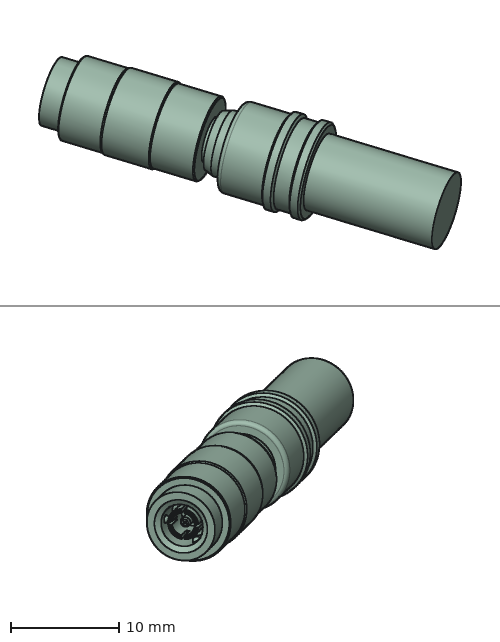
import cadquery as cq

TOTAL_LENGTH = 39.2

NOSE_RADIUS = 3.35
SLEEVE_RADIUS = 4.1
GRIP_RADIUS = 4.25
NECK_RADIUS = 2.2
COLLAR_TIP_RADIUS = 2.9
COLLAR_RADIUS = 3.2
SHELL_RADIUS = 4.43
RING_RADIUS = 4.75
TAIL_RADIUS = 3.72

SLEEVE_START = 2.15
GRIP_START = 6.4
GRIP_END = 11.35
SLEEVE_END = 15.7
COLLAR_START = 16.2
COLLAR_CONE_END = 17.05
SHELL_START = 18.05
FIRST_RING_START = 22.58
FIRST_RING_END = 23.75
LAST_RING_START = 25.3
SHELL_END = 26.45

SLEEVE_CHAMFER = 0.1
GRIP_RAMP = 0.2
SHELL_ROUND = 0.45
RING_RAMP = 0.2

MOUTH_RADIUS = 2.6
SOCKET_RADIUS = 2.05
MOUTH_DEPTH = 0.3
SOCKET_DEPTH = 3.53

TUBE_RADIUS = 1.5
TUBE_BORE_RADIUS = 1.1
TUBE_START = 0.55
TUBE_CHAMFER = 0.1
TUBE_SLOT_COUNT = 4
TUBE_SLOT_WIDTH = 0.3
TUBE_SLOT_LENGTH = 1.55

PIN_RADIUS = 0.47
PIN_START = 1.18
PIN_CHAMFER = 0.15
PIN_BORE_RADIUS = 0.1
PIN_BORE_DEPTH = 1.18

KEY_COUNT = 3
KEY_DOME_RADIUS = 0.4
KEY_TIP_DISTANCE = 1.7
KEY_STATION = 1.55


def revolve_about_x(outline):
    """Revolve a workplane outline in the XY plane about the connector axis."""
    return outline.close().revolve(360, (0, 0), (1, 0))


def make_body():
    """Solid of revolution with the complete outer profile."""
    plug_profile = [
        (0, 0),
        (0, NOSE_RADIUS),
        (SLEEVE_START, NOSE_RADIUS),
        (SLEEVE_START, SLEEVE_RADIUS - SLEEVE_CHAMFER),
        (SLEEVE_START + SLEEVE_CHAMFER, SLEEVE_RADIUS),
        (GRIP_START, SLEEVE_RADIUS),
        (GRIP_START + GRIP_RAMP, GRIP_RADIUS),
        (GRIP_END - SLEEVE_CHAMFER, GRIP_RADIUS),
        (GRIP_END, SLEEVE_RADIUS),
        (SLEEVE_END - SLEEVE_CHAMFER, SLEEVE_RADIUS),
        (SLEEVE_END, SLEEVE_RADIUS - SLEEVE_CHAMFER),
        (SLEEVE_END, NECK_RADIUS),
        (COLLAR_START, NECK_RADIUS),
        (COLLAR_START, COLLAR_TIP_RADIUS),
        (COLLAR_CONE_END, COLLAR_RADIUS),
        (SHELL_START, COLLAR_RADIUS),
        (SHELL_START, SHELL_RADIUS - SHELL_ROUND),
    ]
    shell_profile = [
        (FIRST_RING_START, SHELL_RADIUS),
        (FIRST_RING_START + RING_RAMP, RING_RADIUS),
        (FIRST_RING_END - RING_RAMP, RING_RADIUS),
        (FIRST_RING_END, SHELL_RADIUS),
        (LAST_RING_START, SHELL_RADIUS),
        (LAST_RING_START + RING_RAMP, RING_RADIUS),
        (SHELL_END - RING_RAMP, RING_RADIUS),
        (SHELL_END, RING_RADIUS - RING_RAMP),
        (SHELL_END, TAIL_RADIUS),
        (TOTAL_LENGTH, TAIL_RADIUS),
        (TOTAL_LENGTH, 0),
    ]
    outline = cq.Workplane("XY").polyline(plug_profile)
    outline = outline.radiusArc((SHELL_START + SHELL_ROUND, SHELL_RADIUS), SHELL_ROUND)
    for point in shell_profile:
        outline = outline.lineTo(*point)
    return revolve_about_x(outline)


def make_socket():
    """Cavity behind the mating face, leaving the contact tube and the hollow pin standing."""
    profile = [
        (0, 0),
        (0, MOUTH_RADIUS),
        (MOUTH_DEPTH, SOCKET_RADIUS),
        (SOCKET_DEPTH, SOCKET_RADIUS),
        (SOCKET_DEPTH, TUBE_RADIUS),
        (TUBE_START + TUBE_CHAMFER, TUBE_RADIUS),
        (TUBE_START, TUBE_RADIUS - TUBE_CHAMFER),
        (TUBE_START, TUBE_BORE_RADIUS + TUBE_CHAMFER),
        (TUBE_START + TUBE_CHAMFER, TUBE_BORE_RADIUS),
        (SOCKET_DEPTH, TUBE_BORE_RADIUS),
        (SOCKET_DEPTH, PIN_RADIUS),
        (PIN_START + PIN_CHAMFER, PIN_RADIUS),
        (PIN_START, PIN_RADIUS - PIN_CHAMFER),
        (PIN_START, PIN_BORE_RADIUS),
        (PIN_START + PIN_BORE_DEPTH, PIN_BORE_RADIUS),
        (PIN_START + PIN_BORE_DEPTH, 0),
    ]
    return revolve_about_x(cq.Workplane("XY").polyline(profile))


def copies_around_axis(shape, count):
    """Copies of a shape evenly spaced around the connector axis."""
    step = 360 / count
    return [shape.rotate((0, 0, 0), (1, 0, 0), step * index) for index in range(count)]


def make_tube_slot():
    """Slot cutter on the +Z side; it reaches past both tube walls but stays clear of the pin."""
    mean_radius = (TUBE_RADIUS + TUBE_BORE_RADIUS) / 2
    cutter_height = 2 * (TUBE_RADIUS - TUBE_BORE_RADIUS)
    cutter = cq.Workplane("XY").box(
        TUBE_SLOT_LENGTH, TUBE_SLOT_WIDTH, cutter_height, centered=(False, True, True)
    )
    return cutter.translate((TUBE_START, 0, mean_radius))


def make_key():
    """Domed key on the +Y side, half buried in the socket wall."""
    center_distance = KEY_TIP_DISTANCE + KEY_DOME_RADIUS
    return cq.Workplane("XY").sphere(KEY_DOME_RADIUS).translate((KEY_STATION, center_distance, 0))


result = make_body().cut(make_socket())
for slot in copies_around_axis(make_tube_slot(), TUBE_SLOT_COUNT):
    result = result.cut(slot)
for key in copies_around_axis(make_key(), KEY_COUNT):
    result = result.union(key)